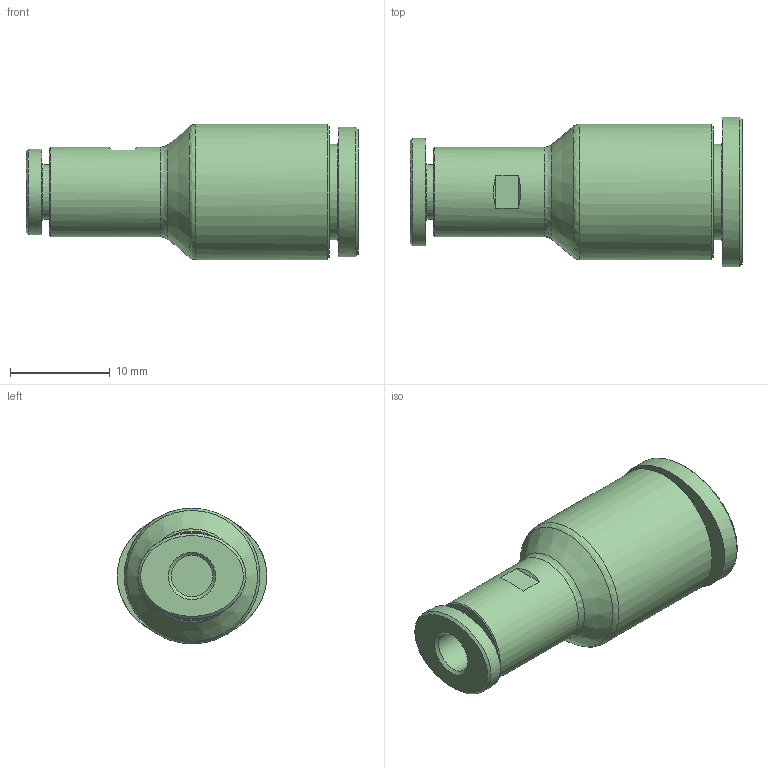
import cadquery as cq
import math

total_length = 33.3

body_start = 2.35
body_end = 30.4
small_radius = 4.5
large_radius = 6.8
cone_start = 13.9
cone_angle = 40.0
cone_blend_radius = 1.0
small_end_chamfer = 0.1
large_end_chamfer = 0.2

small_button_thickness = 1.6
small_button_width = 10.8
small_button_height = 8.6
small_neck_radius = 2.75
large_button_thickness = 2.0
large_button_width = 15.0
large_button_height = 13.0
large_neck_radius = 4.8
button_rim_chamfer = 0.25
neck_fillet = 0.1

bore_radius = 2.07
bore_mouth_chamfer = 0.3
bore_depth = cone_start

recess_center_x = 9.74
recess_floor_length = 2.26
recess_width = 3.25
recess_end_run = 0.23


def make_body():
    cone_length = (large_radius - small_radius) / math.tan(math.radians(cone_angle))
    cone_end = cone_start + cone_length
    body = (
        cq.Workplane("XY")
        .moveTo(body_start, 0)
        .lineTo(body_start, small_radius)
        .lineTo(cone_start, small_radius)
        .lineTo(cone_end, large_radius)
        .lineTo(body_end, large_radius)
        .lineTo(body_end, 0)
        .close()
        .revolve(360, (0, 0, 0), (1, 0, 0))
    )
    body = body.faces("<X").edges().chamfer(small_end_chamfer)
    body = body.faces(">X").edges().chamfer(large_end_chamfer)
    cone_ends = body.faces("%CONE").faces(">>X[1]").edges("%CIRCLE")
    return cone_ends.fillet(cone_blend_radius)


def make_button(width, height, thickness, neck_radius, neck_length):
    """Oval button with its outer face at x = 0 and its neck running toward +X."""
    button = cq.Workplane("YZ").ellipse(width / 2, height / 2).extrude(thickness)
    button = button.faces("<X").edges().chamfer(button_rim_chamfer)
    neck = cq.Workplane("YZ").workplane(offset=thickness).circle(neck_radius).extrude(neck_length)
    button = button.union(neck)
    neck_root = button.edges("%CIRCLE").edges("<X")
    return neck_root.fillet(neck_fillet)


def make_small_button():
    return make_button(
        small_button_width,
        small_button_height,
        small_button_thickness,
        small_neck_radius,
        body_start - small_button_thickness,
    )


def make_large_button():
    button = make_button(
        large_button_width,
        large_button_height,
        large_button_thickness,
        large_neck_radius,
        total_length - large_button_thickness - body_end,
    )
    return button.mirror("YZ").translate((total_length, 0, 0))


def make_bore():
    mouth_radius = bore_radius + bore_mouth_chamfer
    return (
        cq.Workplane("XY")
        .lineTo(0, mouth_radius)
        .lineTo(bore_mouth_chamfer, bore_radius)
        .lineTo(bore_depth, bore_radius)
        .lineTo(bore_depth, 0)
        .close()
        .revolve(360, (0, 0, 0), (1, 0, 0))
    )


def make_recess():
    floor_z = math.sqrt(small_radius**2 - (recess_width / 2) ** 2)
    half_floor = recess_floor_length / 2
    half_top = half_floor + recess_end_run
    return (
        cq.Workplane("XZ")
        .moveTo(recess_center_x - half_floor, floor_z)
        .lineTo(recess_center_x + half_floor, floor_z)
        .lineTo(recess_center_x + half_top, small_radius)
        .lineTo(recess_center_x - half_top, small_radius)
        .close()
        .extrude(recess_width / 2, both=True)
    )


result = (
    make_body()
    .union(make_small_button())
    .union(make_large_button())
    .cut(make_bore())
    .cut(make_recess())
)